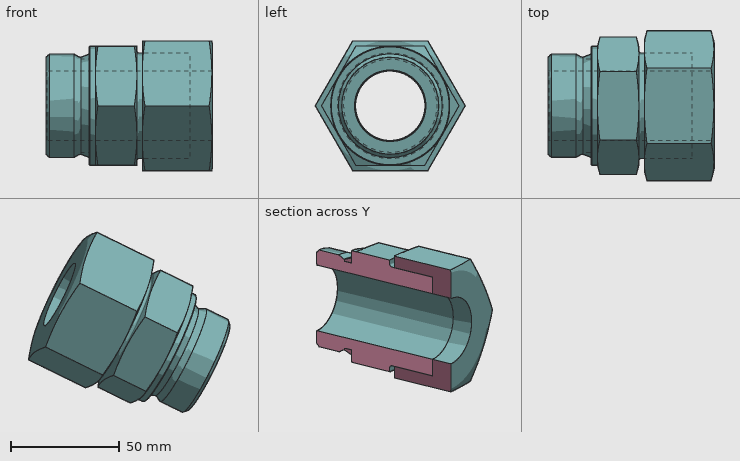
import cadquery as cq
import math


body_hex_width = 55.0
nut_hex_width = 60.0
hex_chamfer_angle = math.radians(15)

thread_end = 13.0
seal_start = 16.35
collar_start = 20.0
hex_start = 22.9
hex_end = 42.0
nut_start = 44.5
total_length = 77.0

bore_radius = 16.0
bore_chamfer = 0.5

thread_radius = 23.9
thread_chamfer = 1.6
groove_radius = 22.5
groove_angle = math.radians(30)
groove_fillet = 1.6

seal_outer_radius = thread_radius
seal_seat_depth = 1.0
seal_seat_radius = groove_radius - seal_seat_depth

collar_radius = body_hex_width / 2
collar_chamfer = 0.3

spigot_radius = 24.4
spigot_fillet = 1.0
spigot_depth = 22.0
spigot_end = nut_start + spigot_depth

nut_front_circle = nut_hex_width / 2
nut_back_circle = 28.5


def revolve_about_x(profile):
    """Turn a closed profile, drawn as (x, radius), once around the X axis."""
    return profile.close().revolve(360, (0, 0, 0), (1, 0, 0))


def cylinder_along_x(start, end, radius):
    return cq.Workplane("YZ").workplane(offset=start).circle(radius).extrude(end - start)


def chamfered_hexagon(width, start, end, front_circle, back_circle):
    """Hexagonal prism with flats facing +Z and -Z, its corners turned off conically at both ends."""
    corner_radius = width / math.sqrt(3)
    prism = cq.Workplane("YZ").workplane(offset=start).polygon(6, 2 * corner_radius).extrude(end - start)
    front_chamfer = (corner_radius - front_circle) * math.tan(hex_chamfer_angle)
    back_chamfer = (corner_radius - back_circle) * math.tan(hex_chamfer_angle)
    turned_envelope = revolve_about_x(
        cq.Workplane("XY")
        .moveTo(start, 0)
        .lineTo(start, front_circle)
        .lineTo(start + front_chamfer, corner_radius)
        .lineTo(end - back_chamfer, corner_radius)
        .lineTo(end, back_circle)
        .lineTo(end, 0)
    )
    return prism.intersect(turned_envelope)


def make_stud():
    """Thread, relief groove, seal seat and collar, solid up to the start of the hexagon."""
    groove_corner = thread_end + (thread_radius - groove_radius) / math.tan(groove_angle)
    tangent_length = groove_fillet * math.tan(groove_angle / 2)
    fillet_start_x = groove_corner - tangent_length * math.cos(groove_angle)
    fillet_start_radius = groove_radius + tangent_length * math.sin(groove_angle)
    return revolve_about_x(
        cq.Workplane("XY")
        .moveTo(0, 0)
        .lineTo(0, thread_radius - thread_chamfer)
        .lineTo(thread_chamfer, thread_radius)
        .lineTo(thread_end, thread_radius)
        .lineTo(fillet_start_x, fillet_start_radius)
        .tangentArcPoint((groove_corner + tangent_length, groove_radius), relative=False)
        .lineTo(seal_start, groove_radius)
        .lineTo(seal_start, seal_seat_radius)
        .lineTo(collar_start, seal_seat_radius)
        .lineTo(collar_start, collar_radius - collar_chamfer)
        .lineTo(collar_start + collar_chamfer, collar_radius)
        .lineTo(hex_start, collar_radius)
        .lineTo(hex_start, 0)
    )


def make_spigot():
    """Cylinder behind the hexagon, joined to its back face by a concave fillet."""
    fillet_end = hex_end + spigot_fillet
    fillet_top = spigot_radius + spigot_fillet
    fillet_middle = (
        fillet_end - spigot_fillet * math.cos(math.pi / 4),
        fillet_top - spigot_fillet * math.sin(math.pi / 4),
    )
    return revolve_about_x(
        cq.Workplane("XY")
        .moveTo(hex_end, 0)
        .lineTo(hex_end, fillet_top)
        .threePointArc(fillet_middle, (fillet_end, spigot_radius))
        .lineTo(spigot_end, spigot_radius)
        .lineTo(spigot_end, 0)
    )


def make_body():
    hexagon = chamfered_hexagon(body_hex_width, hex_start, hex_end, collar_radius, collar_radius)
    solid_body = make_stud().union(hexagon).union(make_spigot())
    bore = revolve_about_x(
        cq.Workplane("XY")
        .moveTo(0, 0)
        .lineTo(0, bore_radius + bore_chamfer)
        .lineTo(bore_chamfer, bore_radius)
        .lineTo(spigot_end, bore_radius)
        .lineTo(spigot_end, 0)
    )
    return solid_body.cut(bore)


def make_seal_ring():
    return revolve_about_x(
        cq.Workplane("XY")
        .moveTo(seal_start, seal_seat_radius)
        .lineTo(seal_start, groove_radius)
        .lineTo(collar_start, seal_outer_radius)
        .lineTo(collar_start, seal_seat_radius)
    )


def make_nut():
    """Hexagon nut with a socket for the spigot; the bore continues through its end wall."""
    hexagon = chamfered_hexagon(nut_hex_width, nut_start, total_length, nut_front_circle, nut_back_circle)
    socket = cylinder_along_x(nut_start, spigot_end, spigot_radius)
    end_hole = cylinder_along_x(spigot_end, total_length, bore_radius)
    return hexagon.cut(socket).cut(end_hole)


body = make_body()
seal_ring = make_seal_ring()
nut = make_nut()

result = cq.Compound.makeCompound([body.val(), seal_ring.val(), nut.val()])